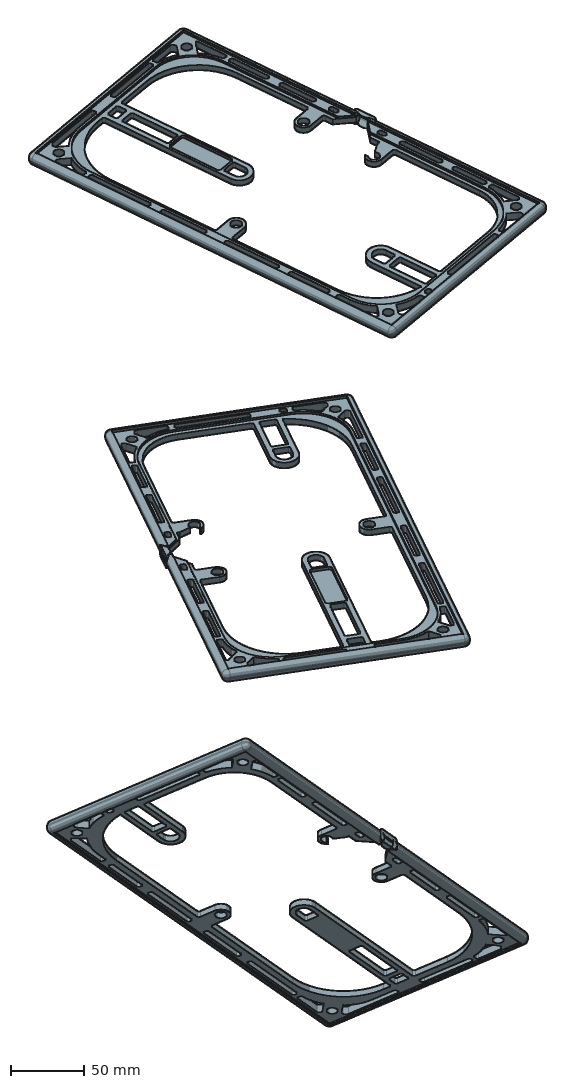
import cadquery as cq
import math

LENGTH = 315.0
WIDTH = 175.5
HEIGHT = 9.8
CORNER_RADIUS = 4.7
EDGE_RADIUS = 4.5
RIM_WIDTH = 4.7

PLATE_BOTTOM = 1.5
PLATE_TOP = 8.0
LEDGE_TOP = 6.3
POCKET_FLOOR = 4.0

STEP_HALF_LENGTH = 145.2
STEP_HALF_WIDTH = 74.8
STEP_RADIUS = 33.5
OPENING_HALF_LENGTH = 141.8
OPENING_HALF_WIDTH = 71.8
OPENING_RADIUS = 44.0
OPENING_SMALL_RADIUS = 32.0

SLOT_GAP_TO_STEP = 2.05
SLOT_WIDTH = 4.0
SLOT_ROUNDING = 1.5
CORNER_SLOT_ROUNDING = 1.0
SLOT_ARC_RADIUS = STEP_RADIUS + SLOT_GAP_TO_STEP
SLOT_INNER_X = STEP_HALF_LENGTH + SLOT_GAP_TO_STEP
SLOT_INNER_Y = STEP_HALF_WIDTH + SLOT_GAP_TO_STEP
SLOT_OUTER_X = SLOT_INNER_X + SLOT_WIDTH
SLOT_OUTER_Y = SLOT_INNER_Y + SLOT_WIDTH
TOP_SLOTS = [(-110.0, -77.0), (-66.8, -36.5), (-24.3, -17.0), (17.5, 24.3), (36.5, 72.0), (82.0, 110.0)]
BOTTOM_SLOTS = [(-110.0, -58.0), (-48.2, -9.8), (6.5, 52.3), (61.7, 95.8)]
LEFT_SLOTS = [(-1.5, 42.8)]
RIGHT_SLOTS = [(-14.0, 39.7), (-39.7, -34.5)]
CORNER_SLOTS_ALONG_X = [(-1, 1, 113.7, 1.0), (1, 1, 113.7, 2.2), (-1, -1, 113.7, 2.2), (1, -1, 102.7, 2.2)]
CORNER_SLOTS_ALONG_Y = [(-1, 1, 46.0, 2.8), (1, 1, 44.0, 2.8), (-1, -1, 21.5, 2.8), (1, -1, 43.8, 2.8)]

HOLE_X = 141.5
HOLE_Y = 71.8
HOLE_RADIUS = 3.8
HOLE_WALL = 6.5

ROOT_FILLET = 1.5
TOLERANCE = 0.03
WINDOW_ROUNDING = 1.3
LEFT_ARM_Y = -11.3
LEFT_ARM_WIDTH = 19.5
LEFT_ARM_END_X = -32.8
LEFT_WINDOW_WIDTH = 11.3
LEFT_WINDOWS = [(-141.8, -133.5), (-129.5, -89.5)]
LEFT_EYE_START_X = -42.0
POCKET_X = (-87.5, -43.8)
POCKET_WIDTH = 15.8
POCKET_ROUNDING = 2.2
RIGHT_ARM_Y = -24.3
RIGHT_ARM_WIDTH = 20.5
RIGHT_ARM_END_X = 98.5
RIGHT_WINDOW_WIDTH = 12.3
RIGHT_WINDOW = (110.2, 142.0)
RIGHT_EYE_START_X = 106.8
TOP_TAB_X = 30.2
TOP_TAB_Y = 57.5
TOP_TAB_WIDTH = 12.5
HOOK_TIP_X = 25.0
BOTTOM_TAB_Y = -57.5
BOTTOM_TAB_WIDTH = 13.5
TAB_HOLE_RADIUS = 4.0

NOTCH_WAIST_Y = WIDTH / 2 - EDGE_RADIUS
NOTCH_HALF_WAIST = 4.7
NOTCH_STEP = 0.5
BRIDGE_HALF_WAIST = 4.7
BRIDGE_ROUNDING = 2.0


def block(x0, x1, y0, y1, z0, z1):
    return cq.Workplane("XY").box(x1 - x0, y1 - y0, z1 - z0, centered=False).translate((x0, y0, z0))


def rounded_block(x0, x1, y0, y1, z0, z1, radius):
    return block(x0, x1, y0, y1, z0, z1).edges("|Z").fillet(radius)


def cylinder(x, y, radius, height):
    return cq.Workplane("XY").center(x, y).circle(radius).extrude(height)


def prism(points, height):
    return cq.Workplane("XY").polyline(points).close().extrude(height)


def frame():
    body = block(-LENGTH / 2, LENGTH / 2, -WIDTH / 2, WIDTH / 2, 0, HEIGHT)
    body = body.edges("|Z").fillet(CORNER_RADIUS)
    body = body.faces("<Z or >Z").edges().fillet(EDGE_RADIUS)
    inner_x = LENGTH / 2 - RIM_WIDTH
    inner_y = WIDTH / 2 - RIM_WIDTH
    for bottom, top in ((0, PLATE_BOTTOM), (PLATE_TOP, HEIGHT)):
        body = body.cut(block(-inner_x, inner_x, -inner_y, inner_y, bottom, top))
    return body.cut(rounded_block(-STEP_HALF_LENGTH, STEP_HALF_LENGTH, -STEP_HALF_WIDTH, STEP_HALF_WIDTH,
                                  LEDGE_TOP, HEIGHT, STEP_RADIUS))


def bar_with_round_end(x_root, x_end, y, width):
    root, end = sorted((x_root, x_end))
    return block(root, end, y - width / 2, y + width / 2, 0, HEIGHT).union(cylinder(x_end, y, width / 2, HEIGHT))


def tab(x, y_end, y_root, width):
    low, high = sorted((y_end, y_root))
    return block(x - width / 2, x + width / 2, low, high, 0, HEIGHT).union(cylinder(x, y_end, width / 2, HEIGHT))


def near(edge, points):
    place = edge.Center()
    return any(math.hypot(place.x - x, place.y - y) < TOLERANCE for x, y in points)


def opening():
    """Main opening, shaped round the two arms and three tabs that stand into it."""
    cutter = block(-OPENING_HALF_LENGTH, OPENING_HALF_LENGTH, -OPENING_HALF_WIDTH, OPENING_HALF_WIDTH, 0, HEIGHT)
    cutter = cutter.edges("|Z and (<X or <Y)").fillet(OPENING_RADIUS)
    cutter = cutter.edges("|Z and >X and >Y").fillet(OPENING_SMALL_RADIUS)
    cutter = cutter.cut(bar_with_round_end(-STEP_HALF_LENGTH, LEFT_ARM_END_X, LEFT_ARM_Y, LEFT_ARM_WIDTH))
    cutter = cutter.cut(bar_with_round_end(STEP_HALF_LENGTH, RIGHT_ARM_END_X, RIGHT_ARM_Y, RIGHT_ARM_WIDTH))
    for x in (-TOP_TAB_X, TOP_TAB_X):
        cutter = cutter.cut(tab(x, TOP_TAB_Y, STEP_HALF_WIDTH, TOP_TAB_WIDTH))
    cutter = cutter.cut(tab(0, BOTTOM_TAB_Y, -STEP_HALF_WIDTH, BOTTOM_TAB_WIDTH))
    roots = [(-OPENING_HALF_LENGTH, LEFT_ARM_Y - LEFT_ARM_WIDTH / 2),
             (-OPENING_HALF_LENGTH, LEFT_ARM_Y + LEFT_ARM_WIDTH / 2),
             (OPENING_HALF_LENGTH, RIGHT_ARM_Y + RIGHT_ARM_WIDTH / 2),
             (-TOP_TAB_X - TOP_TAB_WIDTH / 2, OPENING_HALF_WIDTH),
             (-TOP_TAB_X + TOP_TAB_WIDTH / 2, OPENING_HALF_WIDTH),
             (TOP_TAB_X + TOP_TAB_WIDTH / 2, OPENING_HALF_WIDTH),
             (-BOTTOM_TAB_WIDTH / 2, -OPENING_HALF_WIDTH),
             (BOTTOM_TAB_WIDTH / 2, -OPENING_HALF_WIDTH)]
    return cutter.edges("|Z").filter(lambda edge: near(edge, roots)).fillet(ROOT_FILLET)


def window(x0, x1, y, width):
    return rounded_block(x0, x1, y - width / 2, y + width / 2, 0, HEIGHT, WINDOW_ROUNDING)


def eye(x_start, x_centre, y, width):
    """Opening that is square at x_start and round about x_centre."""
    x0, x1 = sorted((x_start, x_centre))
    square_end = "<X" if x_start < x_centre else ">X"
    hole = block(x0, x1, y - width / 2, y + width / 2, 0, HEIGHT)
    hole = hole.edges("|Z and " + square_end).fillet(WINDOW_ROUNDING)
    return hole.union(cylinder(x_centre, y, width / 2, HEIGHT))


def corner_slot(sign_x, sign_y, along_x, end, tip_radius):
    """Slot reaching into a corner, bounded by the round step and a 45 degree wall beside the corner hole."""
    if along_x:
        slot = block(end, HOLE_X, HOLE_Y - HOLE_RADIUS, SLOT_OUTER_Y, 0, HEIGHT)
    else:
        slot = block(HOLE_X - HOLE_RADIUS, SLOT_OUTER_X, end, SLOT_INNER_Y, 0, HEIGHT)
    ring = rounded_block(-SLOT_INNER_X, SLOT_INNER_X, -SLOT_INNER_Y, SLOT_INNER_Y, 0, HEIGHT, SLOT_ARC_RADIUS)
    diagonal_wall = cq.Workplane("XY").rect(LENGTH, 2 * HOLE_WALL).extrude(HEIGHT)
    diagonal_wall = diagonal_wall.rotate((0, 0, 0), (0, 0, 1), 45).translate((HOLE_X, HOLE_Y, 0))
    slot = slot.cut(ring).cut(diagonal_wall)
    slot = slot.edges("|Z").edges(">X" if along_x else ">Y").fillet(tip_radius)
    slot = slot.faces("<X" if along_x else "<Y").edges("|Z").fillet(CORNER_SLOT_ROUNDING)
    if sign_x < 0:
        slot = slot.mirror("YZ")
    if sign_y < 0:
        slot = slot.mirror("XZ")
    return slot


def slots():
    cutters = []
    for x0, x1 in TOP_SLOTS:
        cutters.append(rounded_block(x0, x1, SLOT_INNER_Y, SLOT_OUTER_Y, 0, HEIGHT, SLOT_ROUNDING))
    for x0, x1 in BOTTOM_SLOTS:
        cutters.append(rounded_block(x0, x1, -SLOT_OUTER_Y, -SLOT_INNER_Y, 0, HEIGHT, SLOT_ROUNDING))
    for y0, y1 in LEFT_SLOTS:
        cutters.append(rounded_block(-SLOT_OUTER_X, -SLOT_INNER_X, y0, y1, 0, HEIGHT, SLOT_ROUNDING))
    for y0, y1 in RIGHT_SLOTS:
        cutters.append(rounded_block(SLOT_INNER_X, SLOT_OUTER_X, y0, y1, 0, HEIGHT, SLOT_ROUNDING))
    for sign_x, sign_y, end, tip_radius in CORNER_SLOTS_ALONG_X:
        cutters.append(corner_slot(sign_x, sign_y, True, end, tip_radius))
    for sign_x, sign_y, end, tip_radius in CORNER_SLOTS_ALONG_Y:
        cutters.append(corner_slot(sign_x, sign_y, False, end, tip_radius))
    return cutters


def corner_holes():
    return [cylinder(x, y, HOLE_RADIUS, HEIGHT) for x in (-HOLE_X, HOLE_X) for y in (-HOLE_Y, HOLE_Y)]


def arm_windows():
    cutters = [window(x0, x1, LEFT_ARM_Y, LEFT_WINDOW_WIDTH) for x0, x1 in LEFT_WINDOWS]
    cutters.append(eye(LEFT_EYE_START_X, LEFT_ARM_END_X, LEFT_ARM_Y, LEFT_WINDOW_WIDTH))
    cutters.append(window(*RIGHT_WINDOW, RIGHT_ARM_Y, RIGHT_WINDOW_WIDTH))
    cutters.append(eye(RIGHT_EYE_START_X, RIGHT_ARM_END_X, RIGHT_ARM_Y, RIGHT_WINDOW_WIDTH))
    cutters.append(rounded_block(*POCKET_X, LEFT_ARM_Y - POCKET_WIDTH / 2, LEFT_ARM_Y + POCKET_WIDTH / 2,
                                 POCKET_FLOOR, HEIGHT, POCKET_ROUNDING))
    return cutters


def tab_holes():
    return [cylinder(x, y, TAB_HOLE_RADIUS, HEIGHT)
            for x, y in ((-TOP_TAB_X, TOP_TAB_Y), (TOP_TAB_X, TOP_TAB_Y), (0, BOTTOM_TAB_Y))]


def hook_cut():
    """Wedge that opens the right-hand top tab into a hook."""
    return prism([(TOP_TAB_X - TOP_TAB_WIDTH / 2 - 3, OPENING_HALF_WIDTH),
                  (TOP_TAB_X - TOP_TAB_WIDTH / 2 - 1.0, OPENING_HALF_WIDTH),
                  (TOP_TAB_X - 2.2, TOP_TAB_Y + 3.5),
                  (TOP_TAB_X, TOP_TAB_Y),
                  (TOP_TAB_X - 2.2, TOP_TAB_Y - 2.8),
                  (HOOK_TIP_X, TOP_TAB_Y - 2.8),
                  (HOOK_TIP_X, 0),
                  (TOP_TAB_X - TOP_TAB_WIDTH / 2 - 3, 0)], HEIGHT)


def trapezoid(y0, half0, y1, half1):
    return prism([(-half0, y0), (half0, y0), (half1, y1), (-half1, y1)], HEIGHT)


def notch():
    """V with 45 degree sides running out through the rim, a little wider above the ledge level."""
    depth = NOTCH_WAIST_Y - OPENING_HALF_WIDTH
    cutter = None
    for half_waist, bottom in ((NOTCH_HALF_WAIST, 0), (NOTCH_HALF_WAIST + NOTCH_STEP, LEDGE_TOP)):
        v_cut = trapezoid(OPENING_HALF_WIDTH, half_waist + depth, NOTCH_WAIST_Y, half_waist)
        throat = block(-half_waist, half_waist, NOTCH_WAIST_Y, WIDTH, 0, HEIGHT)
        layer = v_cut.union(throat).intersect(block(-LENGTH, LENGTH, 0, WIDTH, bottom, HEIGHT))
        cutter = layer if cutter is None else cutter.union(layer)
    return cutter


def bridge(rim):
    """Square-backed bars across the notch that fill the corners above and below the rounded rim."""
    flare = BRIDGE_HALF_WAIST + EDGE_RADIUS
    piece = trapezoid(NOTCH_WAIST_Y, BRIDGE_HALF_WAIST, WIDTH / 2, flare)
    slanted_edges = piece.faces("<Z or >Z").edges("(not |X) and (not |Z)")
    return slanted_edges.fillet(BRIDGE_ROUNDING).cut(rim)


rim_and_plate = frame()
body = rim_and_plate.cut(opening())
for cutter in slots() + corner_holes() + arm_windows() + tab_holes() + [hook_cut(), notch()]:
    body = body.cut(cutter)
result = body.union(bridge(rim_and_plate))